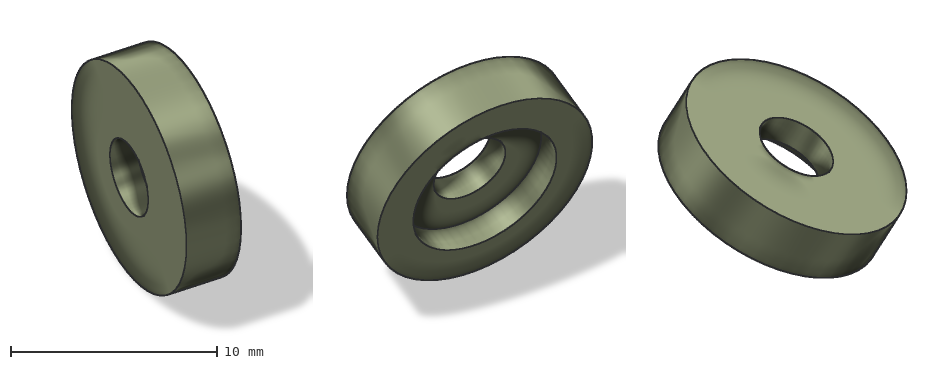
import cadquery as cq

outer_diameter = 12.0
thickness = 3.0
bore_diameter = outer_diameter / 3
recess_diameter = 2 * bore_diameter
recess_depth = thickness / 2

front_y = -thickness / 2
ring = (
    cq.Workplane("XZ", origin=(0, front_y, 0))
    .circle(outer_diameter / 2)
    .circle(bore_diameter / 2)
    .extrude(-thickness)
)

back_y = thickness / 2
recess = (
    cq.Workplane("XZ", origin=(0, back_y, 0))
    .circle(recess_diameter / 2)
    .extrude(recess_depth)
)

result = ring.cut(recess)